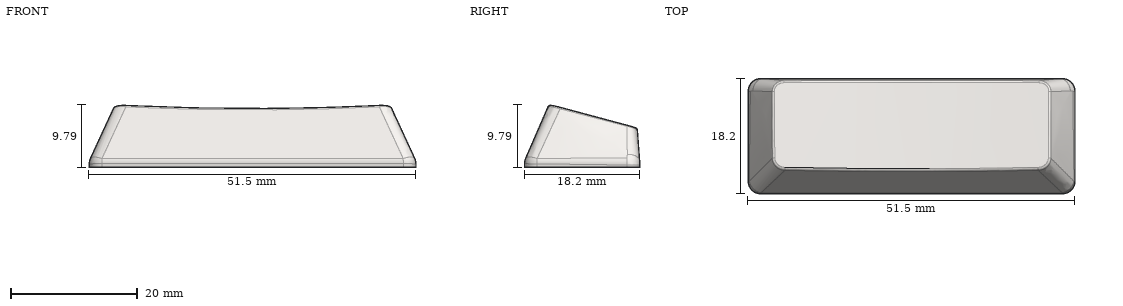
import cadquery as cq
import math

width = 51.5
depth = 18.2

skirt_height = 1.0

rim_width = 43.65
rim_front_y = -5.2
rim_back_y = 8.7
rim_front_height = 9.95
top_tilt = 15.0
tilt_slope = math.tan(math.radians(top_tilt))
rim_back_height = rim_front_height - (rim_back_y - rim_front_y) * tilt_slope

dish_sag = 0.6
dish_radius = (rim_width / 2) ** 2 / (2 * dish_sag) + dish_sag / 2

wall_radius = 2.0
rim_radius = 0.4

wall_overrun = 1.2
cutter_length = 3 * depth
edge_margin = 0.05


def rectangle_corners(half_width, front, back):
    """Corners of a rectangle whose front and back are (y, z) pairs."""
    return [
        cq.Vector(-half_width, *front),
        cq.Vector(half_width, *front),
        cq.Vector(half_width, *back),
        cq.Vector(-half_width, *back),
    ]


def leaning_walls():
    """Block with straight corner lines running from the skirt past the rim."""
    foot = rectangle_corners(width / 2, (-depth / 2, skirt_height), (depth / 2, skirt_height))
    rim = rectangle_corners(
        rim_width / 2, (rim_front_y, rim_front_height), (rim_back_y, rim_back_height)
    )
    head = [low + (high - low) * wall_overrun for low, high in zip(foot, rim)]
    foot_wire = cq.Wire.makePolygon(foot, close=True)
    head_wire = cq.Wire.makePolygon(head, close=True)
    return cq.Workplane(obj=cq.Solid.makeLoft([foot_wire, head_wire], True))


def dish_cutter():
    """Long cylinder along the slope, touching the side rims and sagging between."""
    axis_direction = cq.Vector(0, -1, tilt_slope).normalized()
    axis_normal = cq.Vector(0, tilt_slope, 1).normalized()
    start = (
        cq.Vector(0, rim_front_y, rim_front_height)
        + axis_normal * (dish_radius - dish_sag)
        - axis_direction * (cutter_length / 2)
    )
    cylinder = cq.Solid.makeCylinder(dish_radius, cutter_length, start, axis_direction)
    return cq.Workplane(obj=cylinder)


skirt = cq.Workplane("XY").box(width, depth, skirt_height, centered=(True, True, False))
body = skirt.union(leaning_walls())

corner_edges = body.edges("|Z or %BSPLINE")
bend_edges = body.edges(
    cq.selectors.BoxSelector(
        (-width, -depth, skirt_height - edge_margin),
        (width, depth, skirt_height + edge_margin),
    )
)
body = corner_edges.add(bend_edges).fillet(wall_radius)

body = body.cut(dish_cutter())
result = body.faces(">Z").edges().fillet(rim_radius)